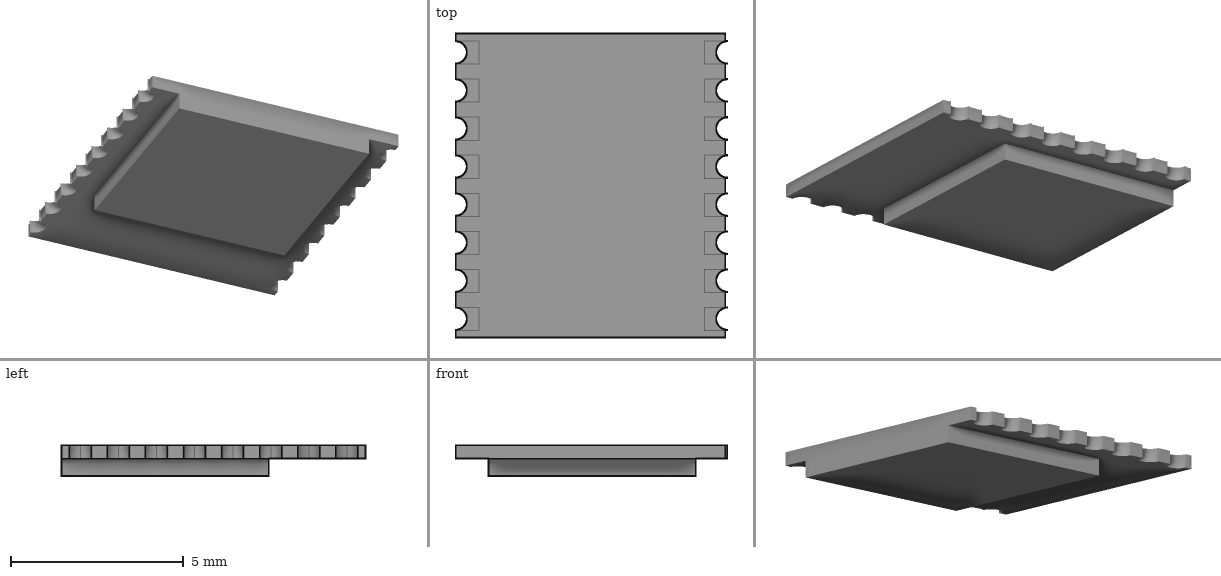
import cadquery as cq

board_width = 7.8
board_length = 8.8
board_thickness = 0.4

block_side = 6.0
block_height = 0.5
block_inset = 0.94

pads_per_side = 8
pad_pitch = 1.1
pad_side = 0.67
pad_overhang = 0.05
notch_radius = 0.32

left_edge = 0.0
right_edge = board_width + pad_overhang
pad_positions = [(i - (pads_per_side - 1) / 2) * pad_pitch for i in range(pads_per_side)]


def make_board():
    return cq.Workplane("XY").box(
        board_width, board_length, board_thickness, centered=(False, True, False)
    )


def make_block():
    center_x = block_inset + block_side / 2
    center_y = (board_length - block_side) / 2
    return (
        cq.Workplane("XY")
        .center(center_x, center_y)
        .rect(block_side, block_side)
        .extrude(-block_height)
    )


def make_pads(center_x):
    """One column of square pads."""
    return (
        cq.Workplane("XY")
        .pushPoints([(center_x, y) for y in pad_positions])
        .rect(pad_side, pad_side)
        .extrude(board_thickness)
    )


def make_notches(edge_x):
    """One column of round cutters, centred on the outer edge of the pads."""
    return (
        cq.Workplane("XY")
        .pushPoints([(edge_x, y) for y in pad_positions])
        .circle(notch_radius)
        .extrude(board_thickness)
    )


result = make_board().union(make_block())

result = result.union(make_pads(left_edge + pad_side / 2), clean=False)
result = result.union(make_pads(right_edge - pad_side / 2), clean=False)
result = result.cut(make_notches(left_edge), clean=False)
result = result.cut(make_notches(right_edge), clean=False)